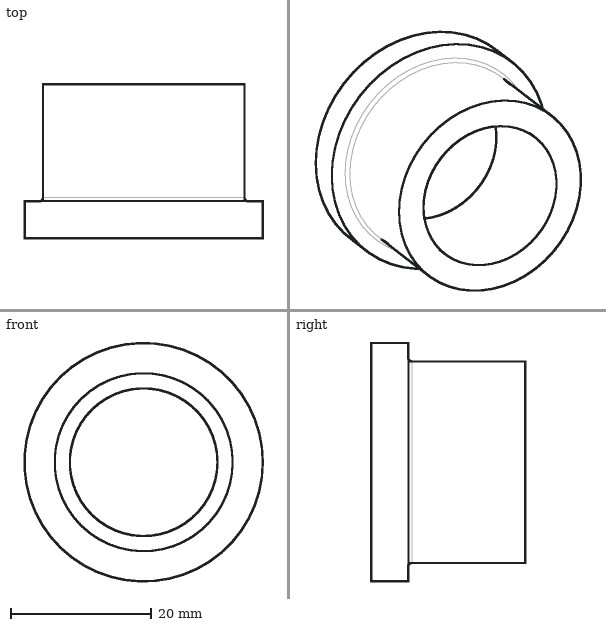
import cadquery as cq

flange_diameter = 34.0
flange_thickness = 5.3
overall_length = 22.0
sleeve_diameter = 28.75
bore_diameter = 21.0
countersink_diameter = 25.35
corner_fillet_radius = 0.5

countersink_depth = (countersink_diameter - bore_diameter) / 2


def half_profile():
    """Radial section of the bushing: X is the radius, Y runs along the axis from the flange face."""
    flange_radius = flange_diameter / 2
    sleeve_radius = sleeve_diameter / 2
    bore_radius = bore_diameter / 2
    fillet_outer_radius = sleeve_radius + corner_fillet_radius
    fillet_end = flange_thickness + corner_fillet_radius
    return (
        cq.Workplane("XY")
        .moveTo(countersink_diameter / 2, 0)
        .lineTo(flange_radius, 0)
        .lineTo(flange_radius, flange_thickness)
        .lineTo(fillet_outer_radius, flange_thickness)
        .radiusArc((sleeve_radius, fillet_end), corner_fillet_radius)
        .lineTo(sleeve_radius, overall_length)
        .lineTo(bore_radius, overall_length)
        .lineTo(bore_radius, countersink_depth)
        .close()
    )


result = half_profile().revolve(360, (0, 0, 0), (0, 1, 0))